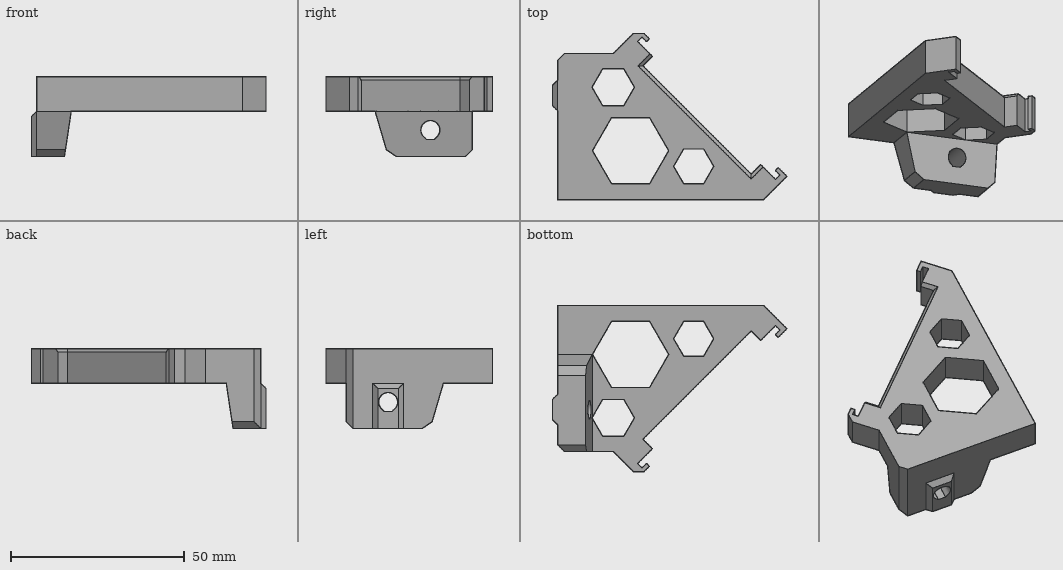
import cadquery as cq
import math

plate_thickness = 10.0
plate_depth = 42.05
corner_chamfer = 1.95

right_edge_slide = 59.2
left_edge_slide = -26.1
top_edge = 47.85
middle_slide = 17.1
hook_outer_reach = 72.65
hook_inner_reach = 71.0
ear_reach = 68.5
recess_reach = 63.0
slot_half_length = 39.6
hook_tip_half_gap = 37.0
recess_half_length = 31.1
recess_chamfer = 1.0

window_floor = 4.65
flat_ratio = math.sqrt(3) / 2
large_radius = 10.9
small_radius = 5.7
windows = [
    (20.95, window_floor + large_radius * flat_ratio, large_radius),
    (39.1, window_floor + small_radius * flat_ratio, small_radius),
    (16.0, 32.35, 6.05),
]

block_height = 13.0
block_top_width = 10.0
block_bottom_width = 8.0
block_front_top = 14.1
block_front_knee = 17.3
block_front_bottom = 20.15

pad_protrusion = 1.5
pad_width = 8.9
pad_center = 30.0
hole_radius = 2.7
hole_depth_below_plate = 5.4


def slanted_point(reach, slide):
    """XY point from its reach and slide."""
    return ((reach + slide) / 2, (reach - slide) / 2)


def hook_points(side):
    """Ear and hook outline at one end of the slanted side, from recess to hook corner."""
    steps = [
        (recess_reach, recess_half_length),
        (ear_reach, recess_half_length),
        (ear_reach, slot_half_length),
        (hook_inner_reach, slot_half_length),
        (hook_inner_reach, hook_tip_half_gap),
        (hook_outer_reach, hook_tip_half_gap),
    ]
    return [slanted_point(reach, middle_slide + side * offset) for reach, offset in steps]


def make_plate():
    outline = [
        (0, 0),
        (right_edge_slide, 0),
        slanted_point(hook_outer_reach, right_edge_slide),
        *reversed(hook_points(1)),
        *hook_points(-1),
        (hook_outer_reach - top_edge, top_edge),
        (top_edge + left_edge_slide, top_edge),
        (plate_depth + left_edge_slide, plate_depth),
        (corner_chamfer, plate_depth),
        (0, plate_depth - corner_chamfer),
    ]
    return cq.Workplane("XY").polyline(outline).close().extrude(plate_thickness)


def make_recess_chamfer():
    """Flared cutter that bevels the recess floor and ends at the plate's top face."""
    bevel = recess_chamfer * math.sqrt(2)

    def section(growth, height):
        half_length = recess_half_length + growth
        corners = [
            (recess_reach - growth, -half_length),
            (ear_reach, -half_length),
            (ear_reach, half_length),
            (recess_reach - growth, half_length),
        ]
        points = [cq.Vector(*slanted_point(r, middle_slide + s), height) for r, s in corners]
        return cq.Wire.makePolygon(points, close=True)

    bottom = section(0, plate_thickness - recess_chamfer)
    top = section(bevel, plate_thickness)
    return cq.Workplane(cq.Solid.makeLoft([bottom, top], True))


def make_window(center_x, center_y, radius):
    window = cq.Workplane("XY").polygon(6, 2 * radius).extrude(plate_thickness)
    return window.translate((center_x, center_y, 0))


def make_block():
    """Side profile in YZ, trimmed by the sloped inner face and the corner bevel."""
    profile = [
        (block_front_top, 0),
        (block_front_knee, corner_chamfer - block_height),
        (block_front_bottom, -block_height),
        (plate_depth - corner_chamfer, -block_height),
        (plate_depth, corner_chamfer - block_height),
        (plate_depth, 0),
    ]
    block = cq.Workplane("YZ").polyline(profile).close().extrude(block_top_width)
    sloped_section = [
        (0, 0),
        (block_top_width, 0),
        (block_bottom_width, -block_height),
        (0, -block_height),
    ]
    slope = cq.Workplane("XZ").polyline(sloped_section).close().extrude(-plate_depth)
    corner = [
        (0, plate_depth),
        (corner_chamfer, plate_depth),
        (0, plate_depth - corner_chamfer),
    ]
    bevel = cq.Workplane("XY").polyline(corner).close().extrude(-block_height)
    return block.intersect(slope).cut(bevel)


def make_pad():
    """Raised pad with 45 degree bevels on its top and both sides."""
    pad = cq.Workplane("XY").box(
        pad_protrusion, pad_width, block_height, centered=(False, True, False)
    )
    pad = pad.translate((-pad_protrusion, pad_center, -block_height))
    side_section = [
        (0, pad_center - pad_width / 2),
        (-pad_protrusion, pad_center - pad_width / 2 + pad_protrusion),
        (-pad_protrusion, pad_center + pad_width / 2 - pad_protrusion),
        (0, pad_center + pad_width / 2),
    ]
    sides = cq.Workplane("XY").polyline(side_section).close().extrude(-block_height)
    top_section = [
        (0, 0),
        (-pad_protrusion, -pad_protrusion),
        (-pad_protrusion, -block_height),
        (0, -block_height),
    ]
    top = cq.Workplane("XZ").polyline(top_section).close().extrude(-plate_depth)
    return pad.intersect(sides).intersect(top)


def make_screw_hole():
    """Round hole whose lower part ends in a flat-bottomed teardrop."""
    tangent = hole_radius / math.sqrt(2)
    flat_half_width = hole_radius * (math.sqrt(2) - 1)
    hole = (
        cq.Workplane("YZ")
        .moveTo(-tangent, -tangent)
        .threePointArc((0, hole_radius), (tangent, -tangent))
        .lineTo(flat_half_width, -hole_radius)
        .lineTo(-flat_half_width, -hole_radius)
        .close()
        .extrude(pad_protrusion + block_top_width)
    )
    return hole.translate((-pad_protrusion, pad_center, -hole_depth_below_plate))


result = make_plate().cut(make_recess_chamfer())
for window in windows:
    result = result.cut(make_window(*window))
result = result.union(make_block()).union(make_pad()).cut(make_screw_hole())